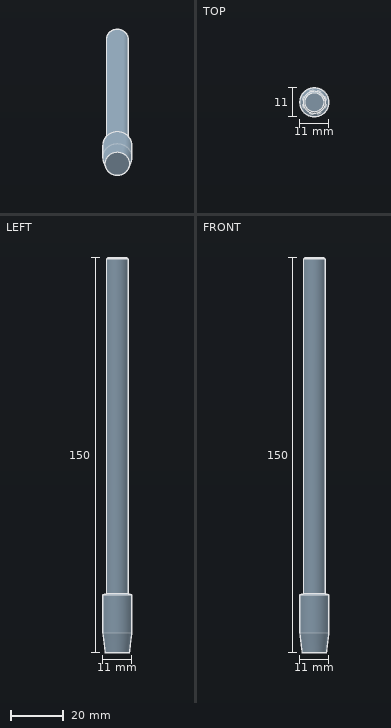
import cadquery as cq

total_height = 150.0
sleeve_radius = 5.5
tip_radius = 4.6
taper_height = 7.5
sleeve_height = 22.5
shoulder_rise = 0.5
rod_radius = 4.2
rod_chamfer = 0.6

base_z = -total_height / 2


def revolve_profile(points):
    """Solid of revolution about Z from a closed (radius, z) outline."""
    return cq.Workplane("XZ").polyline(points).close().revolve(360, (0, 0, 0), (0, 1, 0))


def make_rod():
    """Round rod standing on the sleeve, chamfered at its free end."""
    bottom_z = base_z + sleeve_height
    top_z = base_z + total_height
    return revolve_profile([
        (0, bottom_z),
        (rod_radius, bottom_z),
        (rod_radius, top_z - rod_chamfer),
        (rod_radius - rod_chamfer, top_z),
        (0, top_z),
    ])


def make_sleeve():
    """Solid sleeve with a tapered lower end and a shoulder sloping up to the rod."""
    top_z = base_z + sleeve_height
    return revolve_profile([
        (0, base_z),
        (tip_radius, base_z),
        (sleeve_radius, base_z + taper_height),
        (sleeve_radius, top_z - shoulder_rise),
        (rod_radius, top_z),
        (0, top_z),
    ])


rod = make_rod()
sleeve = make_sleeve()

result = cq.Compound.makeCompound([rod.val(), sleeve.val()])